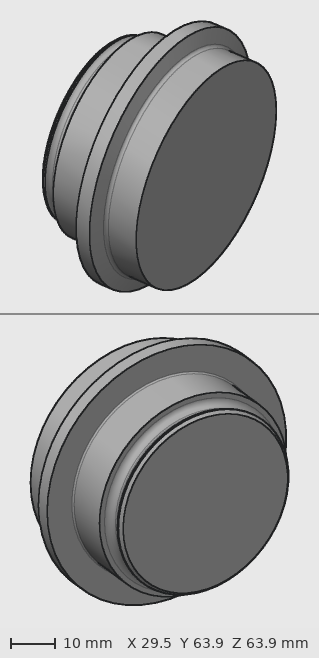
import cadquery as cq
import math

lip_radius = 45.5 / 2
groove_radius = 43.95 / 2
body_radius = 50.1 / 2
flange_radius = 63.9 / 2
rear_radius = 55.45 / 2

shoulder_x = 5.05
flange_front_x = 16.05
flange_thickness = 3.65
flange_rear_x = flange_front_x + flange_thickness
length = 29.5

groove_blend = 1.8
groove_floor_width = 0.6
body_fillet = 0.4
rear_fillet = 0.95
cone_slope = math.radians(70)

floor_end_x = shoulder_x - groove_blend
floor_start_x = floor_end_x - groove_floor_width
blend_center_radius = groove_radius + groove_blend
lip_arc_angle = math.acos((blend_center_radius - lip_radius) / groove_blend)
lip_end_x = floor_start_x - groove_blend * math.sin(lip_arc_angle)
lip_chamfer = lip_radius - groove_radius

cone_foot_x = flange_rear_x + (flange_radius - rear_radius) / math.tan(cone_slope)
tangent_length = rear_fillet * math.tan(cone_slope / 2)
fillet_start_x = cone_foot_x - tangent_length * math.cos(cone_slope)
fillet_start_radius = rear_radius + tangent_length * math.sin(cone_slope)
fillet_end_x = cone_foot_x + tangent_length


def arc_point(center_x, center_radius, arc_radius, angle):
    """Point on the inner side of an arc, at an angle from straight inward (positive toward +X)."""
    return (
        center_x + arc_radius * math.sin(angle),
        center_radius - arc_radius * math.cos(angle),
    )


lip_arc_middle = arc_point(floor_start_x, blend_center_radius, groove_blend, -lip_arc_angle / 2)
shoulder_arc_middle = arc_point(floor_end_x, blend_center_radius, groove_blend, math.pi / 4)
body_arc_middle = arc_point(
    flange_front_x - body_fillet, body_radius + body_fillet, body_fillet, math.pi / 4
)
rear_arc_middle = arc_point(fillet_end_x, rear_radius + rear_fillet, rear_fillet, -cone_slope / 2)

profile = (
    cq.Workplane("XY")
    .moveTo(0, 0)
    .lineTo(0, groove_radius)
    .lineTo(lip_chamfer, lip_radius)
    .lineTo(lip_end_x, lip_radius)
    .threePointArc(lip_arc_middle, (floor_start_x, groove_radius))
    .lineTo(floor_end_x, groove_radius)
    .threePointArc(shoulder_arc_middle, (shoulder_x, blend_center_radius))
    .lineTo(shoulder_x, body_radius)
    .lineTo(flange_front_x - body_fillet, body_radius)
    .threePointArc(body_arc_middle, (flange_front_x, body_radius + body_fillet))
    .lineTo(flange_front_x, flange_radius)
    .lineTo(flange_rear_x, flange_radius)
    .lineTo(fillet_start_x, fillet_start_radius)
    .threePointArc(rear_arc_middle, (fillet_end_x, rear_radius))
    .lineTo(length, rear_radius)
    .lineTo(length, 0)
    .close()
)

result = profile.revolve(360, (0, 0, 0), (1, 0, 0))